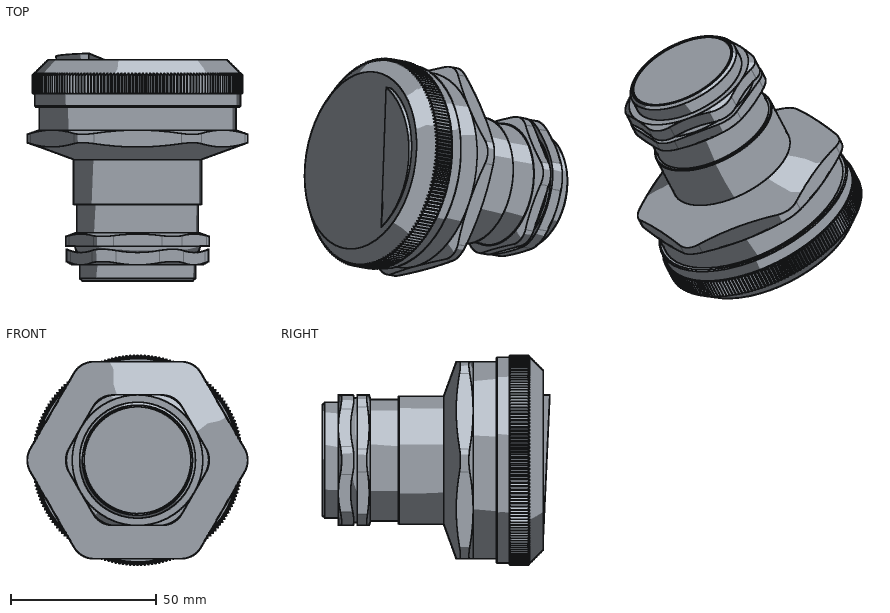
import cadquery as cq
import math


clamp_nut_front = 5.6
gland_nut_front = 12.1
gland_nut_back = 16.65
barrel_step = 26.3
flange_cone_start = 41.9
flange_back = 52.05
collar_front = 60.0
knurl_front = 64.5
bevel_start = 71.65
cap_face = 76.3

tip_dia = 40.0
neck_dia = 42.0
barrel_dia = 44.2
body_dia = 68.0
collar_dia = 71.0
knurl_dia = 72.5
gasket_dia = 43.2

tip_chamfer = 1.0
plug_dia = 36.8
plug_recess = 0.2

barrel_chamfer = 0.25
collar_chamfer = 0.45
knurl_front_chamfer = 0.4

flange_flats = 68.0
flange_corner_radius = 8.0
nut_flats = 45.0
gland_nut_face_dia = 42.6
gland_nut_corner_radius = 8.0
clamp_nut_corner_radius = 9.6
hex_cone_angle = 20.0
clamp_cone_angle = 30.0
clamp_nut_height = 5.4

gasket_height = 3.0

tooth_count = 180

pad_radius = 28.1
pad_height = 2.23
pad_top_z = 22.5
pad_bottom_z = -25.7
pad_embed = 1.0


def revolve_profile(points):
    """Turn a closed (radius, y) outline around the Y axis."""
    return cq.Workplane("XY").polyline(points).close().revolve(360, (0, 0, 0), (0, 1, 0))


def cylinder(diameter, start, end):
    return cq.Workplane("XZ", origin=(0, start, 0)).circle(diameter / 2).extrude(start - end)


def hex_prism(flats, corner_radius, start, end):
    """Hexagonal prism with corners on the X axis and rounded edges."""
    corner_dia = flats / math.cos(math.pi / 6)
    prism = cq.Workplane("XZ", origin=(0, start, 0)).polygon(6, corner_dia).extrude(start - end)
    return prism.edges("|Y").fillet(corner_radius)


def corner_reach(flats, corner_radius):
    """Distance from the axis to the outermost point of a rounded hexagon corner."""
    return (flats / 2 - corner_radius) / math.cos(math.pi / 6) + corner_radius


def make_tip():
    tip = cylinder(tip_dia, 0, gland_nut_front).faces("<Y").chamfer(tip_chamfer)
    return tip.cut(cylinder(plug_dia, 0, plug_recess))


def make_clamp_nut():
    """Hexagon with a conical front and a hollow conical back of the same angle."""
    slope = math.tan(math.radians(clamp_cone_angle))
    reach = corner_reach(nut_flats, clamp_nut_corner_radius)
    face_radius = nut_flats / 2
    back = clamp_nut_front + clamp_nut_height
    envelope = revolve_profile([
        (0, clamp_nut_front),
        (face_radius, clamp_nut_front),
        (reach, clamp_nut_front + (reach - face_radius) * slope),
        (reach, back),
        (tip_dia / 2, back - (reach - tip_dia / 2) * slope),
        (0, back - (reach - tip_dia / 2) * slope),
    ])
    return envelope.intersect(hex_prism(nut_flats, clamp_nut_corner_radius, clamp_nut_front, back))


def make_gasket():
    """Disc whose rim is a quarter round as tall as the gasket."""
    rim_radius = gasket_dia / 2
    arc_centre_radius = rim_radius - gasket_height
    arc_drop = gasket_height * math.sin(math.pi / 4)
    return (
        cq.Workplane("XY")
        .moveTo(0, gland_nut_front)
        .lineTo(rim_radius, gland_nut_front)
        .threePointArc(
            (arc_centre_radius + arc_drop, gland_nut_front - arc_drop),
            (arc_centre_radius, gland_nut_front - gasket_height),
        )
        .lineTo(0, gland_nut_front - gasket_height)
        .close()
        .revolve(360, (0, 0, 0), (0, 1, 0))
    )


def make_gland_nut():
    """Hexagon with its back corners turned off conically."""
    slope = math.tan(math.radians(hex_cone_angle))
    reach = corner_reach(nut_flats, gland_nut_corner_radius)
    envelope = revolve_profile([
        (0, gland_nut_front),
        (reach, gland_nut_front),
        (reach, gland_nut_back - (reach - gland_nut_face_dia / 2) * slope),
        (gland_nut_face_dia / 2, gland_nut_back),
        (0, gland_nut_back),
    ])
    return envelope.intersect(
        hex_prism(nut_flats, gland_nut_corner_radius, gland_nut_front, gland_nut_back)
    )


def make_barrel():
    neck = cylinder(neck_dia, gland_nut_back, barrel_step)
    barrel = cylinder(barrel_dia, barrel_step, flange_cone_start).faces("<Y").chamfer(barrel_chamfer)
    return neck.union(barrel)


def make_flange():
    """Large hexagon between a front cone and a shallow back cone."""
    slope = math.tan(math.radians(hex_cone_angle))
    reach = corner_reach(flange_flats, flange_corner_radius)
    envelope = revolve_profile([
        (0, flange_cone_start),
        (barrel_dia / 2, flange_cone_start),
        (reach, flange_cone_start + (reach - barrel_dia / 2) * slope),
        (reach, flange_back - (reach - body_dia / 2) * slope),
        (body_dia / 2, flange_back),
        (0, flange_back),
    ])
    return envelope.intersect(
        hex_prism(flange_flats, flange_corner_radius, flange_cone_start, flange_back)
    )


def make_body():
    body = cylinder(body_dia, flange_back, collar_front)
    collar = cylinder(collar_dia, collar_front, knurl_front).faces("<Y").chamfer(collar_chamfer)
    return body.union(collar)


def make_cap():
    """Screw cap with V-shaped knurl teeth, whose back ends run out into the 45 degree bevel."""
    tip_radius = knurl_dia / 2
    root_radius = collar_dia / 2
    bevel_end_radius = root_radius - (cap_face - bevel_start)
    outline = []
    for i in range(2 * tooth_count):
        angle = math.pi / 2 + i * math.pi / tooth_count
        radius = tip_radius if i % 2 == 0 else root_radius
        outline.append((radius * math.cos(angle), radius * math.sin(angle)))
    toothed_prism = (
        cq.Workplane("XZ", origin=(0, knurl_front, 0))
        .polyline(outline)
        .close()
        .extrude(knurl_front - cap_face)
    )
    envelope = revolve_profile([
        (0, knurl_front),
        (tip_radius - knurl_front_chamfer, knurl_front),
        (tip_radius, knurl_front + knurl_front_chamfer),
        (tip_radius, bevel_start - (tip_radius - root_radius)),
        (bevel_end_radius, cap_face),
        (0, cap_face),
    ])
    return toothed_prism.intersect(envelope)


def make_pad():
    """Circular segment on the -X side of the cap face, cut to a wedge along Z."""
    top_x = -math.sqrt(pad_radius**2 - pad_top_z**2)
    bottom_x = -math.sqrt(pad_radius**2 - pad_bottom_z**2)
    segment = (
        cq.Workplane("XZ", origin=(0, cap_face - pad_embed, 0))
        .moveTo(top_x, pad_top_z)
        .threePointArc((-pad_radius, 0), (bottom_x, pad_bottom_z))
        .close()
        .extrude(-(pad_embed + pad_height))
    )
    wedge = (
        cq.Workplane("YZ")
        .moveTo(cap_face - pad_embed, pad_bottom_z)
        .lineTo(cap_face, pad_bottom_z)
        .lineTo(cap_face + pad_height, pad_top_z)
        .lineTo(cap_face - pad_embed, pad_top_z)
        .close()
        .extrude(-pad_radius)
    )
    return segment.intersect(wedge)


result = (
    make_tip()
    .union(make_clamp_nut())
    .union(make_gasket())
    .union(make_gland_nut())
    .union(make_barrel())
    .union(make_flange())
    .union(make_body())
    .union(make_cap())
    .union(make_pad())
)